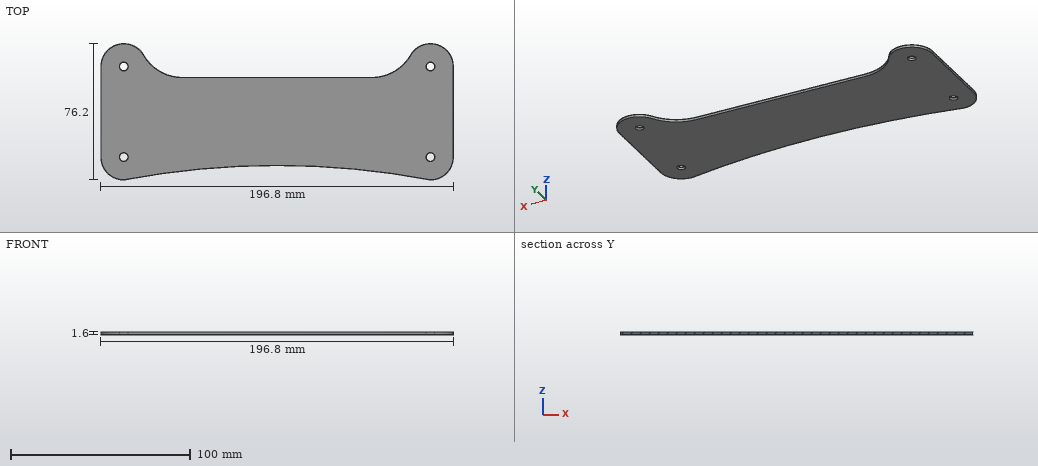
import cadquery as cq
import math

length = 196.8
width = 76.2
thickness = 1.6

corner_radius = 12.8
hole_diameter = 4.7
hole_x = length / 2 - corner_radius
hole_y = width / 2 - corner_radius

back_recess = 18.9
blend_radius = 25.0
back_y = width / 2 - back_recess
blend_y = back_y + blend_radius
blend_reach = corner_radius + blend_radius
blend_x = hole_x - math.sqrt(blend_reach**2 - (blend_y - hole_y) ** 2)

front_rise = 8.0
apex_y = -width / 2 + front_rise


def toward(start, end, distance):
    """Point at a distance from start along the line to end."""
    span = math.dist(start, end)
    return tuple(a + (b - a) * distance / span for a, b in zip(start, end))


def mid_arc(center, radius, first, second):
    """Middle of the shorter arc between two points on a circle."""
    chord_middle = tuple((a + b) / 2 for a, b in zip(first, second))
    return toward(center, chord_middle, radius)


def mirrored(point):
    return (-point[0], point[1])


back_hole = (hole_x, hole_y)
front_hole = (hole_x, -hole_y)
blend_center = (blend_x, blend_y)

bow_end = (hole_x, -width / 2)
side_front = (length / 2, -hole_y)
side_back = (length / 2, hole_y)
blend_end = toward(back_hole, blend_center, corner_radius)
blend_start = (blend_x, back_y)

front_corner_mid = mid_arc(front_hole, corner_radius, bow_end, side_front)
back_corner_mid = (hole_x, width / 2)
blend_mid = mid_arc(blend_center, blend_radius, blend_end, blend_start)

plate = (
    cq.Workplane("XY")
    .moveTo(*mirrored(bow_end))
    .threePointArc((0, apex_y), bow_end)
    .threePointArc(front_corner_mid, side_front)
    .lineTo(*side_back)
    .threePointArc(back_corner_mid, blend_end)
    .threePointArc(blend_mid, blend_start)
    .lineTo(*mirrored(blend_start))
    .threePointArc(mirrored(blend_mid), mirrored(blend_end))
    .threePointArc(mirrored(back_corner_mid), mirrored(side_back))
    .lineTo(*mirrored(side_front))
    .threePointArc(mirrored(front_corner_mid), mirrored(bow_end))
    .close()
    .extrude(thickness)
)

result = (
    plate.faces(">Z")
    .workplane(origin=(0, 0, thickness))
    .rect(2 * hole_x, 2 * hole_y, forConstruction=True)
    .vertices()
    .hole(hole_diameter)
)